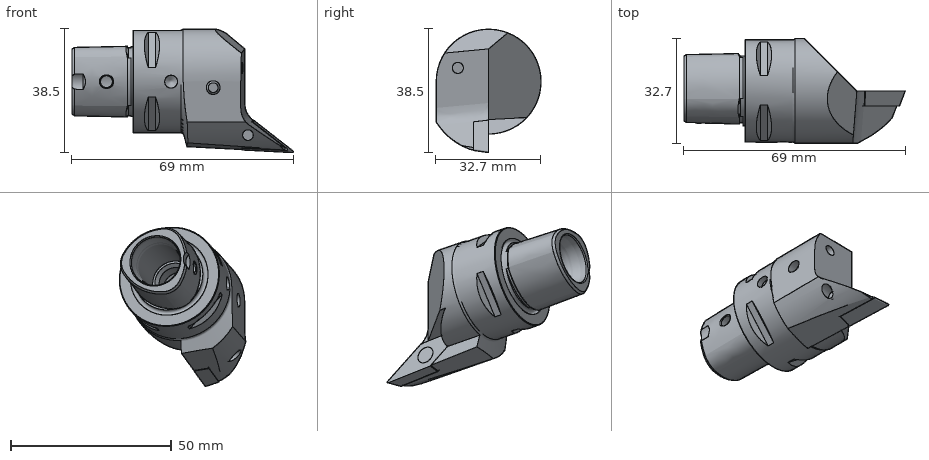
import cadquery as cq
import math


SHANK_LENGTH = 19.0
LOBE_OFFSET = 5.1
LOBE_RADIUS_LARGE = 6.6
LOBE_RADIUS_SMALL = 6.3
SHANK_CHAMFER = 0.8
SHANK_CHAMFER_DROP = 0.55
RELIEF_LENGTH = 1.6
RELIEF_DROP = 0.4
RELIEF_CONE = 0.75
RELIEF_CONE_END = 1.3
NECK_RADIUS = 10.9
NECK_LENGTH = 0.6

FLANGE_RADIUS = 16.0
FLANGE_LENGTH = 15.0
FLANGE_CHAMFER = 0.2
FACE_GROOVE_WIDTH = 1.5
SLOT_START = 3.6
SLOT_END = 8.35
SLOT_FLOOR_START = 4.8
SLOT_FLOOR_END = 7.1
SLOT_FLOOR_RADIUS = 14.2
DEEP_SLOT_FLOOR_RADIUS = 14.0
SLOT_COUNT = 4
DIMPLE_X = 11.95
DIMPLE_RADIUS = 2.0
DIMPLE_DEPTH = 2.1

MOUTH_RADIUS = 8.15
MOUTH_DEPTH = 0.4
ENTRY_RADIUS = 7.8
ENTRY_DEPTH = 2.4
SEAT_RADIUS = 7.45
SEAT_DEPTH = 3.65
STEP_RADIUS = 7.1
WIDE_RADIUS = 6.9
WIDE_DEPTH = 6.35
STEP_START = 4.75
STEP_DEPTH = 5.5
BORE_RADIUS = 6.2
BORE_END_X = 6.9
PILOT_RADIUS = 5.1
PILOT_END_X = 13.8
DRILL_HALF_ANGLE = math.radians(59)

KEYWAY_RADIUS = 3.45
KEYWAY_FLOOR_Y = -8.9
KEYWAY_LENGTH = 3.5
CROSS_HOLE_X = -8.2
CROSS_HOLE_RADIUS = 1.85
CROSS_HOLE_CHAMFER = 0.35

HEAD_RADIUS = 16.35
HEAD_LENGTH_LIMIT = 55.2
REAR_FILLET = 1.0
REAR_CONE_ANGLE = math.radians(15)
REAR_CONE_REACH = 27.6
FLAT_BOTTOM_Z = -12.55
BELLY_MID = (-10.1, -19.0)
BELLY_END_Z = -22.35
END_FACE_X = 34.9
TOP_BEVEL_Z = 10.2
TOP_BEVEL_ANGLE = math.radians(34.5)
END_FILLET = 6.75
END_RAKE = (-0.078, -0.095)

TIP_X = 50.0
TIP_Z = -22.15
NOSE_RADIUS = 0.35
POINT_ANGLE = 35
TRAIL_ANGLE = 3
INSERT_SIDE = 16.6
INSERT_THICKNESS = 4.75
INSERT_CLEARANCE = 7
HOLDER_SETBACK = 0.15
HOLDER_TIP_SETBACK = 0.7

CLAMP_RADIUS = 1.65
CLAMP_HEAD_RADIUS = 2.75
CLAMP_HEAD_DEPTH = 1.7
CLAMP_LENGTH = 10.35
SET_SCREW_X = 25.05
SET_SCREW_Z = -1.85
SET_SCREW_RADIUS = 2.15
SET_SCREW_CHAMFER = 0.6
SET_SCREW_RECESS = 2.5
SET_SCREW_LENGTH = 5.5
OUTLET_Y = -9.6
OUTLET_Z = 4.3
OUTLET_RADIUS = 1.7
OUTLET_DEPTH = 6.9

BIG = 69.0


def polar(radius, angle):
    return radius * math.cos(angle), radius * math.sin(angle)


def lobe_wire(lobe_radius, x):
    """Closed three-lobe outline in the plane X = x, with one lobe pointing to +Y."""
    flat_radius = lobe_radius + LOBE_OFFSET * math.sqrt(3)
    sixth = math.radians(30)

    def lobe_point(lobe_angle, turn):
        cy, cz = polar(LOBE_OFFSET, lobe_angle)
        dy, dz = polar(lobe_radius, lobe_angle + turn)
        return cy + dy, cz + dz

    outline = cq.Workplane("YZ", origin=(x, 0, 0)).moveTo(*lobe_point(0, -sixth))
    for index in range(3):
        angle = math.radians(120 * index)
        next_angle = angle + math.radians(120)
        flat_middle = polar(flat_radius - LOBE_OFFSET, angle + math.radians(60))
        outline = outline.threePointArc(lobe_point(angle, 0), lobe_point(angle, sixth))
        outline = outline.threePointArc(flat_middle, lobe_point(next_angle, -sixth))
    return outline.close().val()


def lobe_taper(radius_start, x_start, radius_end, x_end):
    wires = [lobe_wire(radius_start, x_start), lobe_wire(radius_end, x_end)]
    return cq.Workplane(cq.Solid.makeLoft(wires, True))


def x_cylinder(radius, x_start, x_end):
    return cq.Workplane("YZ", origin=(x_start, 0, 0)).circle(radius).extrude(x_end - x_start)


def revolve_about_x(points):
    return cq.Workplane("XY").polyline(points).close().revolve(360, (0, 0), (1, 0))


def y_hole(x, z, radius, y_start, y_end):
    """Cylinder along Y, from y_start down to y_end or up to it."""
    return cq.Workplane("XZ", origin=(x, y_start, z)).circle(radius).extrude(y_start - y_end)


def y_revolve(x, z, points):
    """Solid of revolution about an axis along Y; points are (radius, Y)."""
    profile = cq.Workplane("XY", origin=(x, 0, z)).polyline(points).close()
    return profile.revolve(360, (0, 0), (0, 1))


def oblique_prism(outline, drift_x, drift_z):
    """Prism through the whole head: an XZ outline at Y = 0 that drifts as it goes to -Y."""
    reach = BIG / 2
    wire = outline.val().moved(cq.Location(cq.Vector(-drift_x * reach, reach, -drift_z * reach)))
    path = cq.Vector(drift_x * BIG, -BIG, drift_z * BIG)
    return cq.Workplane(cq.Solid.extrudeLinear(wire, [], path))


trail = math.radians(TRAIL_ANGLE)
lead = math.radians(TRAIL_ANGLE + POINT_ANGLE)
half_point = math.radians(POINT_ANGLE / 2)
bisector = trail + half_point

nose_lean = math.atan(math.tan(math.radians(INSERT_CLEARANCE)) / math.sin(half_point))
nose_long = NOSE_RADIUS / math.cos(nose_lean)
nose_reach = math.hypot(nose_long, NOSE_RADIUS / math.tan(half_point))
nose_extent_x = math.hypot(nose_long * math.cos(bisector), NOSE_RADIUS * math.sin(bisector))
nose_extent_z = math.hypot(nose_long * math.sin(bisector), NOSE_RADIUS * math.cos(bisector))
SHARP_X = TIP_X - nose_extent_x + nose_reach * math.cos(bisector)
SHARP_Z = TIP_Z + nose_extent_z - nose_reach * math.sin(bisector)
half_diagonal = INSERT_SIDE * math.cos(half_point)
CLAMP_X = SHARP_X - half_diagonal * math.cos(bisector)
CLAMP_Z = SHARP_Z + half_diagonal * math.sin(bisector)


def from_tip(distance, angle):
    """Point at a distance back from the sharp tip, along a line rising towards -X."""
    return SHARP_X - distance * math.cos(angle), SHARP_Z + distance * math.sin(angle)


def insert_outline(y):
    corners = [
        (SHARP_X, SHARP_Z),
        from_tip(INSERT_SIDE, trail),
        from_tip(2 * half_diagonal, bisector),
        from_tip(INSERT_SIDE, lead),
    ]
    return cq.Workplane("XZ", origin=(0, y, 0)).polyline(corners).close()


def insert_blank():
    blank = insert_outline(0).extrude(INSERT_THICKNESS, taper=INSERT_CLEARANCE)
    corner_edges = blank.edges("not #Y")
    return corner_edges.edges("<X or >X").fillet(NOSE_RADIUS)


def make_clamp_screw():
    return y_revolve(CLAMP_X, CLAMP_Z, [
        (0, 0),
        (CLAMP_HEAD_RADIUS, 0),
        (CLAMP_RADIUS, -CLAMP_HEAD_DEPTH),
        (CLAMP_RADIUS, -CLAMP_LENGTH),
        (0, -CLAMP_LENGTH),
    ])


def make_set_screw():
    outer_end = SET_SCREW_RECESS - HEAD_RADIUS
    inner_end = outer_end + SET_SCREW_LENGTH
    return y_revolve(SET_SCREW_X, SET_SCREW_Z, [
        (0, outer_end),
        (SET_SCREW_RADIUS - SET_SCREW_CHAMFER, outer_end),
        (SET_SCREW_RADIUS, outer_end + SET_SCREW_CHAMFER),
        (SET_SCREW_RADIUS, inner_end),
        (0, inner_end),
    ])


def make_shank():
    end_x = -SHANK_LENGTH
    taper_start = end_x + SHANK_CHAMFER
    shank = lobe_taper(LOBE_RADIUS_SMALL - SHANK_CHAMFER_DROP, end_x, LOBE_RADIUS_SMALL, taper_start)
    shank = shank.union(lobe_taper(LOBE_RADIUS_SMALL, taper_start, LOBE_RADIUS_LARGE, -RELIEF_LENGTH))
    relief_radius = LOBE_RADIUS_LARGE - RELIEF_DROP
    relief = lobe_taper(relief_radius, -RELIEF_LENGTH, relief_radius, -NECK_LENGTH)
    outside = NECK_RADIUS + 2 * RELIEF_CONE
    lobe_trim = revolve_about_x([
        (-RELIEF_CONE_END, NECK_RADIUS),
        (-NECK_LENGTH, NECK_RADIUS),
        (-NECK_LENGTH, outside),
        (-RELIEF_CONE_END - 2 * RELIEF_CONE, outside),
    ])
    return shank.union(relief).cut(lobe_trim)


def gripper_slot(floor_radius):
    """Trapezoidal slot, cut straight across the top of the flange."""
    slope = (SLOT_FLOOR_START - SLOT_START) / (FLANGE_RADIUS - floor_radius)
    top_shift = slope * (HEAD_RADIUS - FLANGE_RADIUS)
    outline = [
        (SLOT_FLOOR_START, floor_radius),
        (SLOT_FLOOR_END, floor_radius),
        (SLOT_END + top_shift, HEAD_RADIUS),
        (SLOT_START - top_shift, HEAD_RADIUS),
    ]
    return cq.Workplane("XZ").polyline(outline).close().extrude(FLANGE_RADIUS, both=True)


def make_flange():
    """Flange and neck, with the face groove between them and the gripper slots."""
    groove_depth = FACE_GROOVE_WIDTH / 2
    groove_bottom = (groove_depth, NECK_RADIUS + groove_depth)
    groove_rim = (0, NECK_RADIUS + FACE_GROOVE_WIDTH)
    flange = (
        cq.Workplane("XY")
        .moveTo(-NECK_LENGTH, 0)
        .lineTo(-NECK_LENGTH, NECK_RADIUS)
        .lineTo(0, NECK_RADIUS)
        .threePointArc(groove_bottom, groove_rim)
        .lineTo(0, FLANGE_RADIUS - FLANGE_CHAMFER)
        .lineTo(FLANGE_CHAMFER, FLANGE_RADIUS)
        .lineTo(FLANGE_LENGTH, FLANGE_RADIUS)
        .lineTo(FLANGE_LENGTH, 0)
        .close()
        .revolve(360, (0, 0), (1, 0))
    )
    for index in range(SLOT_COUNT):
        floor_radius = DEEP_SLOT_FLOOR_RADIUS if index == 0 else SLOT_FLOOR_RADIUS
        angle = 360 / SLOT_COUNT * (index + 0.5)
        flange = flange.cut(gripper_slot(floor_radius).rotate((0, 0, 0), (1, 0, 0), angle))
    return flange


def dimple():
    floor_y = DIMPLE_DEPTH - FLANGE_RADIUS
    point_y = floor_y + DIMPLE_RADIUS / math.tan(DRILL_HALF_ANGLE)
    return y_revolve(DIMPLE_X, 0, [
        (0, -HEAD_RADIUS),
        (DIMPLE_RADIUS, -HEAD_RADIUS),
        (DIMPLE_RADIUS, floor_y),
        (0, point_y),
    ])


def bore():
    mouth_x = -SHANK_LENGTH
    pilot_x = BORE_END_X + BORE_RADIUS - PILOT_RADIUS
    point_x = PILOT_END_X + PILOT_RADIUS / math.tan(DRILL_HALF_ANGLE)
    return revolve_about_x([
        (mouth_x, 0),
        (mouth_x, MOUTH_RADIUS),
        (mouth_x + MOUTH_DEPTH, ENTRY_RADIUS),
        (mouth_x + ENTRY_DEPTH, ENTRY_RADIUS),
        (mouth_x + SEAT_DEPTH, SEAT_RADIUS),
        (mouth_x + STEP_START, STEP_RADIUS),
        (mouth_x + STEP_DEPTH, STEP_RADIUS),
        (mouth_x + WIDE_DEPTH, WIDE_RADIUS),
        (BORE_END_X, WIDE_RADIUS),
        (BORE_END_X, BORE_RADIUS),
        (pilot_x, PILOT_RADIUS),
        (PILOT_END_X, PILOT_RADIUS),
        (point_x, 0),
    ])


def keyway():
    end_x = KEYWAY_LENGTH - SHANK_LENGTH
    cutter = revolve_about_x([
        (-SHANK_LENGTH, 0),
        (-SHANK_LENGTH, KEYWAY_RADIUS),
        (end_x, KEYWAY_RADIUS),
        (end_x + KEYWAY_RADIUS / math.tan(DRILL_HALF_ANGLE), 0),
    ])
    return cutter.translate((0, KEYWAY_FLOOR_Y - KEYWAY_RADIUS, 0))


def cross_hole():
    surface_y = -(LOBE_RADIUS_SMALL + LOBE_RADIUS_LARGE) / 2 - LOBE_OFFSET * (math.sqrt(3) - 1)
    mouth = CROSS_HOLE_RADIUS + CROSS_HOLE_CHAMFER
    return y_revolve(CROSS_HOLE_X, 0, [
        (0, surface_y - 0.7),
        (mouth, surface_y - 0.7),
        (mouth, surface_y),
        (CROSS_HOLE_RADIUS, surface_y + CROSS_HOLE_CHAMFER),
        (CROSS_HOLE_RADIUS, 0),
        (0, 0),
    ])


def head_section():
    """Round head joined to the belly that reaches down to the cutting tip."""
    length = HEAD_LENGTH_LIMIT - FLANGE_LENGTH
    belly = (
        cq.Workplane("YZ", origin=(FLANGE_LENGTH, 0, 0))
        .lineTo(-HEAD_RADIUS, 0)
        .lineTo(-HEAD_RADIUS, FLAT_BOTTOM_Z)
        .threePointArc(BELLY_MID, (0, BELLY_END_Z))
        .close()
        .extrude(length)
    )
    return x_cylinder(HEAD_RADIUS, FLANGE_LENGTH, HEAD_LENGTH_LIMIT).union(belly)


def rear_envelope():
    """Revolved limit at the back of the head: a fillet on the flange running into a cone."""
    centre_radius = FLANGE_RADIUS + REAR_FILLET
    sweep = math.pi / 2 - REAR_CONE_ANGLE

    def fillet_point(angle):
        return FLANGE_LENGTH + REAR_FILLET * math.sin(angle), centre_radius - REAR_FILLET * math.cos(angle)

    cone_x, cone_radius = fillet_point(sweep)
    outer_x = cone_x + (REAR_CONE_REACH - cone_radius) * math.tan(REAR_CONE_ANGLE)
    profile = (
        cq.Workplane("XY")
        .moveTo(FLANGE_LENGTH, 0)
        .lineTo(FLANGE_LENGTH, FLANGE_RADIUS)
        .threePointArc(fillet_point(sweep / 2), (cone_x, cone_radius))
        .lineTo(outer_x, REAR_CONE_REACH)
        .lineTo(HEAD_LENGTH_LIMIT, REAR_CONE_REACH)
        .lineTo(HEAD_LENGTH_LIMIT, 0)
        .close()
    )
    return profile.revolve(360, (0, 0), (1, 0))


def end_cutter():
    """Everything beyond the top bevel, the end face, its fillet and the leading flank."""
    flank_x = SHARP_X - HOLDER_SETBACK / math.sin(lead)
    corner_z = SHARP_Z + (flank_x - END_FACE_X) * math.tan(lead)
    tangent = END_FILLET * math.tan((math.pi / 2 - lead) / 2)
    centre_x = END_FACE_X + END_FILLET
    centre_z = corner_z + tangent
    turn = math.pi / 2 - lead

    def fillet_point(angle):
        return centre_x - END_FILLET * math.cos(angle), centre_z - END_FILLET * math.sin(angle)

    top_z = TOP_BEVEL_Z + END_FACE_X * math.tan(TOP_BEVEL_ANGLE)
    outline = (
        cq.Workplane("XZ")
        .moveTo(0, top_z)
        .lineTo(END_FACE_X, TOP_BEVEL_Z)
        .lineTo(END_FACE_X, centre_z)
        .threePointArc(fillet_point(turn / 2), fillet_point(turn))
        .lineTo(BIG, SHARP_Z - (BIG - flank_x) * math.tan(lead))
        .lineTo(BIG, top_z)
        .close()
        .wire()
    )
    return oblique_prism(outline, *END_RAKE)


def underside_cutter():
    """Everything below the trailing flank."""
    edge_z = SHARP_Z + HOLDER_SETBACK / math.cos(trail)
    outline = (
        cq.Workplane("XZ")
        .moveTo(0, edge_z + SHARP_X * math.tan(trail))
        .lineTo(BIG, edge_z - (BIG - SHARP_X) * math.tan(trail))
        .lineTo(BIG, -BIG)
        .lineTo(0, -BIG)
        .close()
        .wire()
    )
    return oblique_prism(outline, 0, math.tan(math.radians(INSERT_CLEARANCE)))


def tip_cutter():
    """Blunt end of the holder tip, leaning back with the nose edge of the insert."""
    start_x = TIP_X - HOLDER_TIP_SETBACK
    outline = cq.Workplane("XZ").moveTo(start_x, -BIG).lineTo(BIG, -BIG).lineTo(BIG, 0).lineTo(start_x, 0)
    return oblique_prism(outline.close().wire(), -math.tan(nose_lean), 0)


def back_cutter():
    """Vertical 45-degree cut on the +Y side, ending at the rake plane."""
    outline = [(END_FACE_X, 0), (END_FACE_X - BIG, BIG), (BIG, BIG), (BIG, 0)]
    return cq.Workplane("XY").polyline(outline).close().extrude(BIG, both=True)


def coolant_outlet():
    x_start = END_FACE_X - OUTLET_DEPTH
    return x_cylinder(OUTLET_RADIUS, x_start, HEAD_LENGTH_LIMIT).translate((0, OUTLET_Y, OUTLET_Z))


def make_head():
    head = head_section().intersect(rear_envelope())
    for cutter in (back_cutter(), end_cutter(), underside_cutter(), tip_cutter(), coolant_outlet()):
        head = head.cut(cutter)
    return head


def make_holder():
    holder = make_flange().union(make_shank()).union(make_head())
    holder = holder.cut(bore()).cut(dimple()).cut(keyway()).cut(cross_hole())
    holder = holder.cut(insert_blank()).cut(insert_outline(BIG).extrude(BIG))
    holder = holder.cut(y_hole(CLAMP_X, CLAMP_Z, CLAMP_RADIUS, 0, -BIG))
    screw_inner_end = SET_SCREW_RECESS - HEAD_RADIUS + SET_SCREW_LENGTH
    return holder.cut(y_hole(SET_SCREW_X, SET_SCREW_Z, SET_SCREW_RADIUS, screw_inner_end, -BIG))


clamp_screw = make_clamp_screw()
set_screw = make_set_screw()
insert = insert_blank().cut(clamp_screw)
holder = make_holder()

result = cq.Compound.makeCompound([holder.val(), insert.val(), clamp_screw.val(), set_screw.val()])